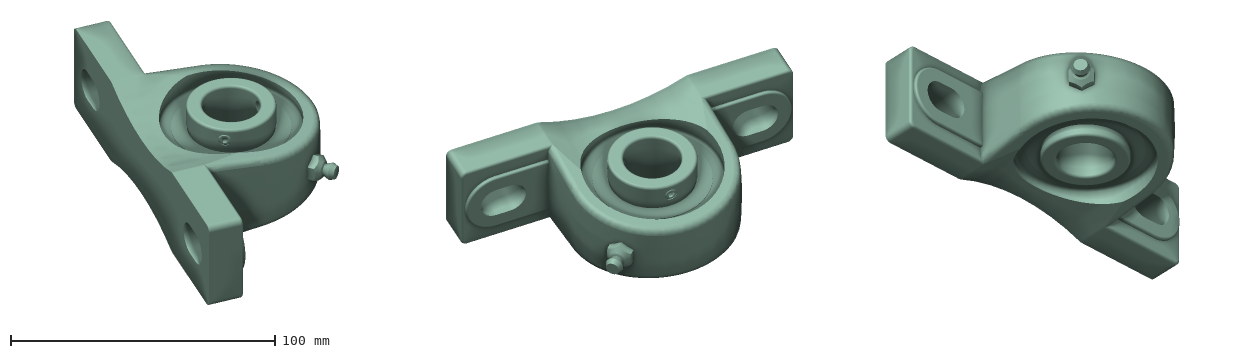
import cadquery as cq
import math


plate_length = 138.5
plate_width = 37.4
plate_thickness = 14.1
plate_edge_round = 1.1
plate_corner_radius = 2.5
axis_height = 36.5
base_y = -axis_height
plate_top_y = base_y + plate_thickness
shoulder_y = plate_top_y - plate_edge_round

slot_spacing = 105.0
slot_length = 18.8
slot_width = 13.0
pad_height = 1.5
pad_end_radius = 12.5
pad_edge_round = 0.8
pad_end_x = slot_spacing / 2 + (slot_length - slot_width) / 2

waist_chord = 62.0
waist_depth = 6.1
waist_radius = (waist_chord / 2) ** 2 / (2 * waist_depth) + waist_depth / 2
waist_edge_round = 2.8

arch_radius = 34.0
crown_radius = 166.2
arch_half_width_at_tip = 12.3
rim_round = 2.6

recess_diameter = 54.7
recess_floor_z = 8.9
recess_floor_round = 1.1

seat_sphere_diameter = 52.0
seal_outer_diameter = 45.7
seal_thickness = 1.4
seal_rise = 0.3
seal_face_z = recess_floor_z + seal_rise
collar_diameter = 34.2
inner_ring_diameter = 33.7
inner_ring_step_z = 11.2
collar_top_z = 19.8
collar_bottom_z = -14.3
collar_edge_round = 1.1
bore_diameter = 22.2

screw_diameter = 5.0
screw_z = 15.1
screw_inner_radius = 12.7
screw_outer_radius = 17.2
screw_chamfer = 0.4
screw_angles = (90, -30)
socket_width = 2.5
socket_depth = 2.2

nipple_angle = 45
nipple_stem_start = 29.1
nipple_hex_start = 33.5
nipple_hex_end = 38.2
nipple_neck_start = 38.6
nipple_head_start = 39.0
nipple_head_widest = 41.3
nipple_tip = 43.4
nipple_hex_width = 9.5
nipple_hex_top_radius = 3.3
nipple_neck_diameter = 5.0
nipple_head_radius = 3.5
nipple_tip_radius = 2.6


def crown_section():
    """Half section of the arch: flat toward the axis, crowned on the outside."""
    half_height = plate_width / 2
    crown_drop = crown_radius - math.sqrt(crown_radius**2 - half_height**2)
    edge_x = arch_radius - crown_drop
    return (
        cq.Workplane("XZ")
        .moveTo(0, -half_height)
        .lineTo(edge_x, -half_height)
        .threePointArc((arch_radius, 0), (edge_x, half_height))
        .lineTo(0, half_height)
        .close()
    )


def arch():
    """Round-topped block, tapering from the plate width to its tip, with rounded rims."""
    half_width = plate_width / 2
    round_top = crown_section().revolve(360, (0, 0, 0), (0, 1, 0))
    right_leg = crown_section().extrude(-shoulder_y)
    left_leg = right_leg.mirror("YZ")
    block = round_top.union(right_leg).union(left_leg)
    taper = (
        cq.Workplane("YZ")
        .polyline(
            [
                (shoulder_y, -half_width),
                (arch_radius, -arch_half_width_at_tip),
                (arch_radius, arch_half_width_at_tip),
                (shoulder_y, half_width),
            ]
        )
        .close()
        .extrude(arch_radius, both=True)
    )
    block = block.intersect(taper)
    sloping_rims = block.faces("<Z or >Z").edges("not <Y")
    return block.newObject(sloping_rims.vals()).fillet(rim_round)


def plate():
    """Base plate with rounded corners and a rounded upper edge."""
    return (
        cq.Workplane("XZ", origin=(0, base_y, 0))
        .rect(plate_length, plate_width)
        .extrude(-plate_thickness)
        .edges("|Y")
        .fillet(plate_corner_radius)
        .faces(">Y")
        .edges()
        .fillet(plate_edge_round)
    )


def pads():
    """One raised strip with round ends; the arch covers its middle."""
    return (
        cq.Workplane("XZ", origin=(0, plate_top_y, 0))
        .slot2D(2 * (pad_end_x + pad_end_radius), 2 * pad_end_radius)
        .extrude(-pad_height)
        .faces(">Y")
        .edges()
        .fillet(pad_edge_round)
    )


def bolt_slots():
    return (
        cq.Workplane("XZ", origin=(0, base_y, 0))
        .pushPoints([(-slot_spacing / 2, 0), (slot_spacing / 2, 0)])
        .slot2D(slot_length, slot_width)
        .extrude(-(plate_thickness + pad_height))
    )


def waist_cutter():
    """Bar from the mounting face to the bearing axis: an arc that meets the plate face in round corners."""
    face_z = plate_width / 2
    floor_z = face_z - waist_depth
    arc_centre_z = floor_z + waist_radius
    round_centre_z = face_z - waist_edge_round
    centre_distance = waist_radius + waist_edge_round
    round_centre_x = math.sqrt(centre_distance**2 - (arc_centre_z - round_centre_z) ** 2)
    lean = math.asin(round_centre_x / centre_distance)
    join_x = waist_radius * math.sin(lean)
    join_z = arc_centre_z - waist_radius * math.cos(lean)
    mid_x = round_centre_x - waist_edge_round * math.sin(lean / 2)
    mid_z = round_centre_z + waist_edge_round * math.cos(lean / 2)
    return (
        cq.Workplane("XZ", origin=(0, base_y, 0))
        .moveTo(-round_centre_x, face_z)
        .threePointArc((-mid_x, mid_z), (-join_x, join_z))
        .threePointArc((0, floor_z), (join_x, join_z))
        .threePointArc((mid_x, mid_z), (round_centre_x, face_z))
        .close()
        .extrude(-axis_height)
    )


def housing_bore():
    """Through bore: recesses with rounded floors, joined by the spherical seat."""
    recess = (
        cq.Workplane("XY", origin=(0, 0, recess_floor_z))
        .circle(recess_diameter / 2)
        .extrude(plate_width)
        .faces("<Z")
        .edges()
        .fillet(recess_floor_round)
    )
    return recess.union(recess.mirror("XY")).union(seat_ball())


def seat_ball():
    """Sphere of the bearing seat, cut to the width of the outer ring."""
    slab = cq.Workplane("XY").box(seat_sphere_diameter, seat_sphere_diameter, 2 * recess_floor_z)
    return cq.Workplane("XY").sphere(seat_sphere_diameter / 2).intersect(slab)


def make_housing(nipple):
    body = arch().union(plate()).union(pads())
    upper_waist = waist_cutter()
    body = body.cut(upper_waist).cut(upper_waist.mirror("XY"))
    return body.cut(bolt_slots()).cut(housing_bore()).cut(nipple)


def make_outer_ring():
    """Ring with a spherical outside that fills the housing seat."""
    opening = cq.Workplane("XY").circle(seal_outer_diameter / 2).extrude(recess_floor_z, both=True)
    return seat_ball().cut(opening)


def radial_plane(angle, distance):
    """Plane square to a set screw, at a distance from the bearing axis and facing outward."""
    direction = cq.Vector(math.cos(math.radians(angle)), math.sin(math.radians(angle)), 0)
    origin = direction * distance + cq.Vector(0, 0, screw_z)
    return cq.Plane(origin=origin, xDir=(0, 0, 1), normal=direction)


def make_inner_ring():
    """Bored sleeve, slightly thinner between the seals, with holes for the set screws."""
    ring = (
        cq.Workplane("XY", origin=(0, 0, collar_bottom_z))
        .circle(collar_diameter / 2)
        .circle(bore_diameter / 2)
        .extrude(collar_top_z - collar_bottom_z)
        .faces("<Z or >Z")
        .edges()
        .fillet(collar_edge_round)
    )
    relief = (
        cq.Workplane("XY")
        .circle(collar_diameter)
        .circle(inner_ring_diameter / 2)
        .extrude(inner_ring_step_z, both=True)
    )
    ring = ring.cut(relief)
    for angle in screw_angles:
        hole = cq.Workplane(radial_plane(angle, 0)).circle(screw_diameter / 2).extrude(collar_diameter)
        ring = ring.cut(hole)
    return ring


def make_seal(face):
    """Annular seal between the rings; face is +1 for the upper side and -1 for the lower."""
    return (
        cq.Workplane("XY", origin=(0, 0, face * seal_face_z))
        .circle(seal_outer_diameter / 2)
        .circle(inner_ring_diameter / 2)
        .extrude(-face * seal_thickness)
    )


def make_set_screw(angle):
    """Headless screw with a hexagon socket in its outer end."""
    screw = (
        cq.Workplane(radial_plane(angle, screw_inner_radius))
        .circle(screw_diameter / 2)
        .extrude(screw_outer_radius - screw_inner_radius)
        .faces(cq.selectors.DirectionMinMaxSelector(radial_plane(angle, 0).zDir, True))
        .edges()
        .chamfer(screw_chamfer)
    )
    socket = (
        cq.Workplane(radial_plane(angle, screw_outer_radius))
        .polygon(6, socket_width, circumscribed=True)
        .extrude(-socket_depth)
    )
    return screw.cut(socket)


def make_nipple():
    """Grease nipple: stem, chamfered hexagon, tapering neck and double-cone head, built along X."""
    chamfer_base_radius = nipple_hex_top_radius + nipple_hex_end - nipple_hex_start
    neck_radius = nipple_neck_diameter / 2
    hexagon = (
        cq.Workplane("YZ", origin=(nipple_hex_start, 0, 0))
        .polygon(6, nipple_hex_width, circumscribed=True)
        .extrude(nipple_hex_end - nipple_hex_start)
    )
    chamfer_cone = (
        cq.Workplane("XZ")
        .polyline(
            [
                (nipple_hex_start, 0),
                (nipple_hex_start, chamfer_base_radius),
                (nipple_hex_end, nipple_hex_top_radius),
                (nipple_hex_end, 0),
            ]
        )
        .close()
        .revolve(360, (0, 0, 0), (1, 0, 0))
    )
    turned = (
        cq.Workplane("XZ")
        .polyline(
            [
                (nipple_stem_start, 0),
                (nipple_stem_start, neck_radius),
                (nipple_hex_end, neck_radius),
                (nipple_hex_end, nipple_hex_top_radius),
                (nipple_neck_start, neck_radius),
                (nipple_head_start, neck_radius),
                (nipple_head_widest, nipple_head_radius),
                (nipple_tip, nipple_tip_radius),
                (nipple_tip, 0),
            ]
        )
        .close()
        .revolve(360, (0, 0, 0), (1, 0, 0))
    )
    nipple = hexagon.intersect(chamfer_cone).union(turned)
    return nipple.rotate((0, 0, 0), (0, 0, 1), nipple_angle)


nipple = make_nipple()
housing = make_housing(nipple)
outer_ring = make_outer_ring()
inner_ring = make_inner_ring()
seals = [make_seal(face) for face in (1, -1)]
set_screws = [make_set_screw(angle) for angle in screw_angles]

bodies = [housing, outer_ring, inner_ring, *seals, *set_screws, nipple]
result = cq.Compound.makeCompound([body.val() for body in bodies])